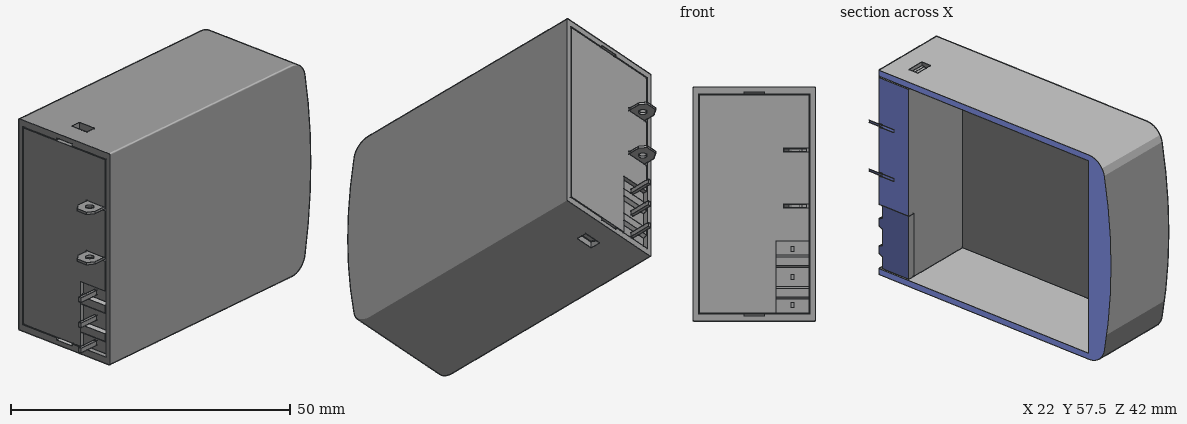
import cadquery as cq


case_width = 22.0
case_height = 42.0
overall_length = 57.5
terminal_reach = 3.5
case_length = overall_length - terminal_reach
crown_radius = 103.55
crown_corner_radius = 3.75
side_edge_radius = 0.26
side_wall = 1.0
end_wall = 1.3
opening_width = case_width - 2 * side_wall
opening_height = case_height - 2 * end_wall
cavity_length = 48.65

plug_gap = 0.2
plug_width = opening_width - 2 * plug_gap
plug_height = opening_height - 2 * plug_gap
plug_thickness = 6.9

clip_width = 3.6
window_start = 4.0
window_length = 2.05
clip_height = 0.75
clip_crest = 0.6
ramp_height = 0.4

block_left = 3.9
block_top = -6.6
block_right = plug_width / 2
block_bottom = -plug_height / 2
recess_depth = 0.75
rib_top = -9.5
rib_height = 1.55
rib_flank = 0.35
rib_pitch = 5.65
rib_count = 2

pin_x = 6.85
pin_top_z = -8.05
pin_pitch = 5.0
pin_count = 3
pin_width = 0.6
pin_height = 0.9

tab_x = 7.35
tab_top_z = 9.65
tab_pitch = 10.0
tab_count = 2
tab_width = 4.0
tab_thickness = 0.45
tab_tip_width = 2.3
tab_taper = 1.25
tab_hole_diameter = 1.5
tab_hole_reach = 1.4

slot_clearance = 0.1
slot_depth = recess_depth

terminal_root = 3.45


def box(x_range, y_range, z_range):
    """Axis-aligned box between the given limits."""
    size = [high - low for low, high in (x_range, y_range, z_range)]
    corner = (x_range[0], y_range[0], z_range[0])
    return cq.Workplane("XY").box(*size, centered=False).translate(corner)


def prism_along_x(outline, x_start, x_end):
    """Prism of a (Y, Z) outline between two X positions."""
    return cq.Workplane("YZ").workplane(offset=x_start).polyline(outline).close().extrude(x_end - x_start)


def mirrored_pair(body):
    """The body together with its mirror image below the XY plane."""
    return body.union(body.mirror("XY"))


def make_case_block():
    """Outer case shape: a box with a crowned rear face, rounded rear corners and softened side edges."""
    half_height = case_height / 2
    crown_sag = crown_radius - (crown_radius**2 - half_height**2) ** 0.5
    shoulder_y = case_length - crown_sag
    block = (
        cq.Workplane("YZ")
        .moveTo(0, -half_height)
        .lineTo(shoulder_y, -half_height)
        .threePointArc((case_length, 0), (shoulder_y, half_height))
        .lineTo(0, half_height)
        .close()
        .extrude(case_width / 2, both=True)
    )
    block = block.edges("|X").edges(">Y").fillet(crown_corner_radius)
    return block.faces("<X or >X").edges("not <Y").fillet(side_edge_radius)


def make_snap_cutter():
    """Clip window through the upper case wall, with the lead-in ramp in front of it."""
    inner_z = opening_height / 2
    window = box(
        (-clip_width / 2, clip_width / 2),
        (window_start, window_start + window_length),
        (0, case_height),
    )
    ramp = prism_along_x(
        [(0, 0), (0, inner_z + ramp_height), (window_start, inner_z), (window_start, 0)],
        -clip_width / 2,
        clip_width / 2,
    )
    return window.union(ramp)


def make_case():
    cavity = box(
        (-opening_width / 2, opening_width / 2),
        (0, cavity_length),
        (-opening_height / 2, opening_height / 2),
    )
    return make_case_block().cut(cavity).cut(mirrored_pair(make_snap_cutter()))


def make_clip():
    """Upper snap clip: a flat crest behind a square front face, sloping down to the rear."""
    base_z = plug_height / 2
    crest_z = base_z + clip_height
    outline = [
        (window_start, 0),
        (window_start, crest_z),
        (window_start + clip_crest, crest_z),
        (window_start + window_length, base_z),
        (window_start + window_length, 0),
    ]
    return prism_along_x(outline, -clip_width / 2, clip_width / 2)


def tab_z(index):
    return tab_top_z - index * tab_pitch


def make_tab_slot(index):
    """Relief slot around a tab, open to the right edge of the plug."""
    half_height = tab_thickness / 2 + slot_clearance
    return box(
        (tab_x - tab_width / 2 - slot_clearance, plug_width / 2),
        (0, slot_depth),
        (tab_z(index) - half_height, tab_z(index) + half_height),
    )


def make_plug(tabs):
    body = box(
        (-plug_width / 2, plug_width / 2),
        (0, plug_thickness),
        (-plug_height / 2, plug_height / 2),
    )
    body = body.union(mirrored_pair(make_clip()))
    body = body.cut(box((block_left, block_right), (0, plug_thickness), (block_bottom, block_top)))
    for index, tab in enumerate(tabs):
        body = body.cut(make_tab_slot(index)).cut(tab)
    return body


def make_rib(index):
    """Rib with sloping flanks that stands on the recessed face of the terminal block."""
    top = rib_top - index * rib_pitch
    bottom = top - rib_height
    outline = [
        (0, top),
        (recess_depth, top + rib_flank),
        (recess_depth, bottom - rib_flank),
        (0, bottom),
    ]
    return prism_along_x(outline, block_left, block_right)


def make_terminal_block(pins):
    body = box((block_left, block_right), (recess_depth, plug_thickness), (block_bottom, block_top))
    for index in range(rib_count):
        body = body.union(make_rib(index))
    for pin in pins:
        body = body.cut(pin)
    return body


def make_pin(index):
    z = pin_top_z - index * pin_pitch
    return box(
        (pin_x - pin_width / 2, pin_x + pin_width / 2),
        (-terminal_reach, terminal_root),
        (z - pin_height / 2, z + pin_height / 2),
    )


def make_tab(index):
    """Flat tab with a tapered tip and a round hole."""
    outline = [
        (-tab_width / 2, terminal_root),
        (-tab_width / 2, tab_taper - terminal_reach),
        (-tab_tip_width / 2, -terminal_reach),
        (tab_tip_width / 2, -terminal_reach),
        (tab_width / 2, tab_taper - terminal_reach),
        (tab_width / 2, terminal_root),
    ]
    blade = cq.Workplane("XY").polyline(outline).close().extrude(tab_thickness)
    hole = (
        cq.Workplane("XY")
        .center(0, -tab_hole_reach)
        .circle(tab_hole_diameter / 2)
        .extrude(tab_thickness)
    )
    return blade.cut(hole).translate((tab_x, 0, tab_z(index) - tab_thickness / 2))


pins = [make_pin(index) for index in range(pin_count)]
tabs = [make_tab(index) for index in range(tab_count)]
case = make_case()
plug = make_plug(tabs)
terminal_block = make_terminal_block(pins)

result = cq.Compound.makeCompound(
    [
        case.val(),
        plug.val(),
        terminal_block.val(),
        *[tab.val() for tab in tabs],
        *[pin.val() for pin in pins],
    ]
)